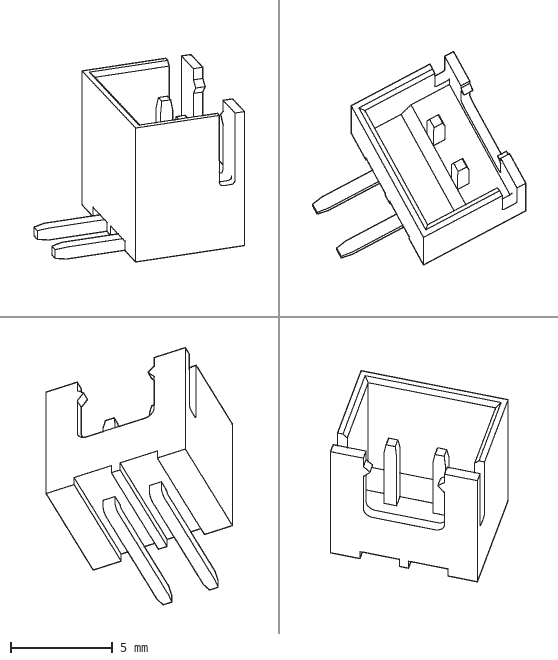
import cadquery as cq

width = 7.5
depth = 5.72
height = 7.2
wall = 0.5
rim_chamfer = 0.22

rear_floor = 2.11
front_floor = 1.0
step_top_y = 3.08
step_bottom_y = 2.52

tab_width = 1.68
window_half = width / 2 - tab_width
window_bottom = 3.11
window_radius = 0.5
bump_reach = 0.34
bump_top = height - 0.6
bump_peak = bump_top - 0.3
bump_bottom = bump_top - 0.73

slot_width = 0.82
slot_depth = 3.8
slot_radius = 0.21

notch_width = 2.0
notch_height = 0.5
rib_width = 0.47

pin_size = 0.65
pin_pitch = 2.49
pin_bottom = height - width
pin_rear_y = step_top_y + pin_size
pin_front_y = depth - 9.1
pin_top = 6.21
tip_length = 0.57
tip_size = 0.47
outer_bend = 0.41
inner_bend = 0.18


def block(x_range, y_range, z_range):
    """Axis-aligned box between the given limits."""
    sizes = [high - low for low, high in (x_range, y_range, z_range)]
    corner = (x_range[0], y_range[0], z_range[0])
    return cq.Workplane("XY").box(*sizes, centered=False).translate(corner)


def make_cavity():
    """Open-topped cavity with a sloped step in its floor."""
    inner_width = width - 2 * wall
    rear_y = depth - wall
    return (
        cq.Workplane("YZ")
        .polyline([
            (wall, height),
            (wall, front_floor),
            (step_bottom_y, front_floor),
            (step_top_y, rear_floor),
            (rear_y, rear_floor),
            (rear_y, height),
        ])
        .close()
        .extrude(inner_width / 2, both=True)
    )


def make_rim_flare():
    """Bevel along the front and side walls, ending ahead of the rear wall."""
    rear_y = depth - wall
    flare_length = rear_y - wall
    flare = (
        cq.Workplane("XY", origin=(0, (wall + rear_y) / 2, height - rim_chamfer))
        .rect(width - 2 * wall, flare_length)
        .workplane(offset=rim_chamfer)
        .rect(width - 2 * wall + 2 * rim_chamfer, flare_length + 2 * rim_chamfer)
        .loft()
    )
    return flare.intersect(block((-width / 2, width / 2), (0, rear_y), (0, height)))


def make_window():
    """Rear wall opening, round at its lower corners."""
    window = block((-window_half, window_half), (depth - wall, depth), (window_bottom, height))
    return window.edges("|Y and <Z").fillet(window_radius)


def make_side_slots():
    """One cutter for the matching slots in both side walls."""
    rear_y = depth - wall
    slots = block((-width / 2, width / 2), (rear_y - slot_width, rear_y), (height - slot_depth, height))
    return slots.edges("|X and <Z").fillet(slot_radius)


def make_bump(side):
    """Triangular snap bump on the inner edge of one tab."""
    return (
        cq.Workplane("XZ", origin=(0, depth, 0))
        .polyline([
            (side * window_half, bump_top),
            (side * (window_half - bump_reach), bump_peak),
            (side * window_half, bump_bottom),
        ])
        .close()
        .extrude(wall)
    )


def make_notch(side):
    """Clearance notch running the full depth beneath one pin."""
    centre = side * (rib_width + notch_width) / 2
    x_range = (centre - notch_width / 2, centre + notch_width / 2)
    return block(x_range, (0, depth), (0, notch_height))


def make_pin(x):
    """L-shaped square pin with a tapered tip at each end."""
    half = pin_size / 2
    leg_y = pin_rear_y - half
    leg_z = pin_bottom + half
    shoulder_y = pin_front_y + tip_length
    shoulder_z = pin_top - tip_length
    inner_y = pin_rear_y - pin_size
    inner_z = pin_bottom + pin_size
    pin = (
        cq.Workplane("YZ")
        .polyline([
            (shoulder_y, pin_bottom),
            (pin_rear_y, pin_bottom),
            (pin_rear_y, shoulder_z),
            (inner_y, shoulder_z),
            (inner_y, inner_z),
            (shoulder_y, inner_z),
        ])
        .close()
        .extrude(half, both=True)
    )
    pin = pin.edges(cq.selectors.NearestToPointSelector((0, pin_rear_y, pin_bottom))).fillet(outer_bend)
    pin = pin.edges(cq.selectors.NearestToPointSelector((0, inner_y, inner_z))).fillet(inner_bend)

    mating_base = cq.Workplane("XY", origin=(0, leg_y, shoulder_z)).rect(pin_size, pin_size)
    mating_tip = mating_base.workplane(offset=tip_length).rect(tip_size, tip_size).loft()
    board_base = cq.Workplane("XZ", origin=(0, shoulder_y, leg_z)).rect(pin_size, pin_size)
    board_tip = board_base.workplane(offset=tip_length).rect(tip_size, tip_size).loft()
    return pin.union(mating_tip).union(board_tip).translate((x, 0, 0))


result = block((-width / 2, width / 2), (0, depth), (0, height))
result = result.cut(make_cavity()).cut(make_rim_flare()).cut(make_window()).cut(make_side_slots())
for side in (-1, 1):
    result = result.union(make_bump(side))
    result = result.cut(make_notch(side))
for side in (-1, 1):
    result = result.union(make_pin(side * pin_pitch / 2))